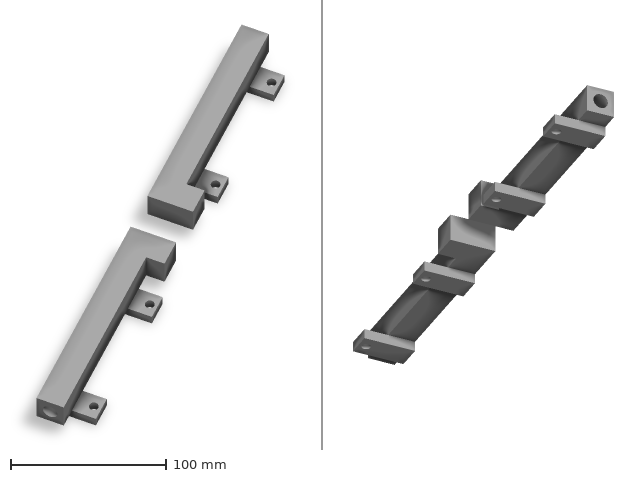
import cadquery as cq

overall_length = 330.0
rail_length = 151.5
outer_end = overall_length / 2

bar_size = 19.0
foot_reach = 32.0
foot_width = 18.8

tab_reach = 36.0
tab_width = 17.5
tab_thickness = 7.0
tab_inset = 13.2
tab_pitch = 90.0
screw_hole_diameter = 6.3
screw_hole_x = 30.7

mouth_diameter = 10.2
mouth_depth = 39.5
inner_diameter = 8.0
bore_depth = 99.0


def make_bar():
    """L-shaped bar on the -Y side, with its underside at Z = 0."""
    inner_end = rail_length - outer_end
    outline = [
        (0, -outer_end),
        (bar_size, -outer_end),
        (bar_size, inner_end - foot_width),
        (foot_reach, inner_end - foot_width),
        (foot_reach, inner_end),
        (0, inner_end),
    ]
    return cq.Workplane("XY").polyline(outline).close().extrude(bar_size)


def make_tab(center_y):
    """Drilled plate that spans the underside of the bar and projects past it in +X."""
    plate = (
        cq.Workplane("XY")
        .center(tab_reach / 2, center_y)
        .rect(tab_reach, tab_width)
        .extrude(-tab_thickness)
    )
    hole = (
        cq.Workplane("XY")
        .center(screw_hole_x, center_y)
        .circle(screw_hole_diameter / 2)
        .extrude(-tab_thickness)
    )
    return plate.cut(hole)


def make_bore_step(diameter, depth):
    """Cylinder along the bar axis, reaching inwards from the outer end."""
    bar_center = cq.Vector(bar_size / 2, -outer_end, bar_size / 2)
    return cq.Solid.makeCylinder(diameter / 2, depth, bar_center, cq.Vector(0, 1, 0))


def make_rail():
    """Complete rail on the -Y side."""
    rail = make_bar()
    outer_tab_y = -outer_end + tab_inset + tab_width / 2
    for tab_y in (outer_tab_y, outer_tab_y + tab_pitch):
        rail = rail.union(make_tab(tab_y))
    rail = rail.cut(make_bore_step(mouth_diameter, mouth_depth))
    return rail.cut(make_bore_step(inner_diameter, bore_depth))


rail_pair = [make_rail(), make_rail().mirror("XZ")]

result = cq.Compound.makeCompound([rail.val() for rail in rail_pair])